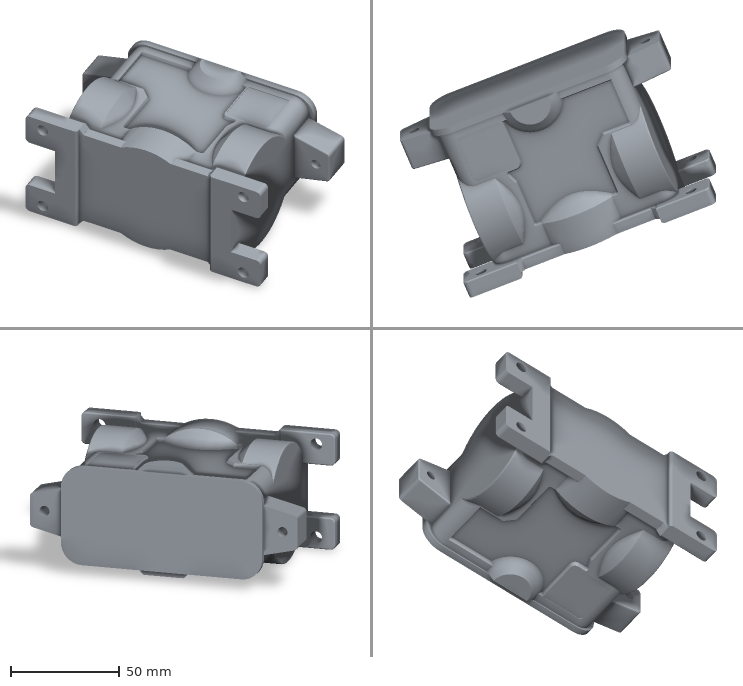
import cadquery as cq
import math


depth = 80.0
flange_thickness = 3.2
flange_face = depth - flange_thickness
front_face = 2.6
body_half_x = 46.0
body_half_z = 22.5
body_corner = 7.5
flange_half_x = 48.7
flange_half_z = 23.6
flange_corner = 10.1

boss_radius = 28.5
cone_reach = boss_radius
side_boss_y = 30.8
side_boss_inner_x = 29.1
front_boss_end_y = 19.4
boss_edge_round = 0.6
rear_cone_radius = 9.7
rear_cone_half_z = 26.5

foot_depth = 8.2
foot_half_x = 61.5
foot_inner_x = 34.7
foot_half_z = 28.0
foot_slot_half_z = 12.5
foot_corner = 2.3
foot_inner_chamfer = 0.9
foot_hole_x = 52.5
foot_hole_z = 22.4
foot_hole_diameter = 5.7
edge_round = 0.8
plate_half_z = 25.4
plate_flare = 2.2

ear_half_x = 64.8
ear_length_y = 15.0
ear_root_half_z = 12.5
ear_tip_half_z = 8.0
ear_corner = 2.0
ear_hole_x = 57.6
ear_hole_diameter = 4.8

panel_depth = 1.8
panel_wall_run = 0.9
panel_left_x = -39.0
panel_max_x = 15.8
panel_max_y = 72.8
panel_step_y = 48.8
panel_bay_x = 21.1
panel_notch_x = 23.8
panel_notch_y = 42.5
panel_bevel = 4.5
panel_corner = 1.3
panel_badge_corner = 2.3
badge_depth = 0.3
badge_min_x, badge_max_x = 16.5, 38.5
badge_min_y, badge_max_y = 50.0, 72.9
badge_corner = 1.7


def block(x0, x1, y0, y1, z0, z1):
    """Box between two opposite corners."""
    return cq.Workplane("XY").box(x1 - x0, y1 - y0, z1 - z0, centered=False).translate((x0, y0, z0))


def rounded_block(half_x, half_z, y0, y1, corner):
    """Box centred on the Y axis with its four Y edges rounded."""
    return block(-half_x, half_x, y0, y1, -half_z, half_z).edges("|Y").fillet(corner)


def both_ends(shape):
    """The shape together with its mirror image across X = 0."""
    return shape.union(shape.mirror("YZ"))


def both_faces(shape):
    """The shape together with its mirror image across Z = 0."""
    return shape.union(shape.mirror("XY"))


def y_holes(diameter, points, length):
    """Round cutters along Y, starting at Y = 0, at (x, z) points."""
    cutter = cq.Workplane("XZ").pushPoints(points).circle(diameter / 2)
    return cutter.extrude(-length)


def panel_recess():
    """Cutter for the sunken panel with sloping walls; its left wall is upright."""
    open_left_x = panel_left_x - 2 * panel_wall_run
    badge_side = (panel_max_x, panel_step_y)
    notch_tip = (panel_notch_x, panel_step_y)
    bay_right = (panel_bay_x, front_boss_end_y)
    bay_left = (-panel_bay_x, front_boss_end_y)
    outline = [
        (open_left_x, panel_max_y),
        (panel_max_x, panel_max_y),
        badge_side,
        notch_tip,
        (panel_bay_x, panel_notch_y),
        bay_right,
        bay_left,
        (-panel_bay_x, panel_step_y - panel_bevel),
        (-panel_bay_x - panel_bevel, panel_step_y),
        (open_left_x, panel_step_y),
    ]
    wall_angle = math.degrees(math.atan2(panel_wall_run, panel_depth))
    prism = cq.Workplane("XY").polyline(outline).close().extrude(body_half_z)
    rounded_corners = [
        (badge_side, panel_badge_corner),
        (notch_tip, panel_corner),
        (bay_right, panel_corner),
        (bay_left, panel_corner),
    ]
    for (x, y), radius in rounded_corners:
        corner_edge = cq.NearestToPointSelector((x, y, body_half_z / 2))
        prism = prism.edges("|Z").edges(corner_edge).fillet(radius)
    rim = prism.faces(">Z").wires().toPending()
    recess = rim.extrude(-panel_depth, combine=False, taper=wall_angle)
    keep = block(panel_left_x, body_half_x, 0, depth, 0, boss_radius)
    return recess.intersect(keep)


def badge_recess():
    """Shallow cutter for the rounded badge field."""
    return block(
        badge_min_x, badge_max_x, badge_min_y, badge_max_y, body_half_z - badge_depth, boss_radius
    ).edges("|Z").fillet(badge_corner)


def side_boss():
    """Boss along X at the +X end, closed towards the middle by a 45 degree cone."""
    boss = (
        cq.Workplane("YZ").workplane(offset=side_boss_inner_x).center(side_boss_y, 0)
        .circle(boss_radius).extrude(body_half_x - side_boss_inner_x)
        .faces(">X").edges().fillet(boss_edge_round)
    )
    cone = cq.Solid.makeCone(
        boss_radius, 0, cone_reach, cq.Vector(side_boss_inner_x, side_boss_y, 0), cq.Vector(-1, 0, 0)
    )
    boss = boss.union(cq.Workplane(cone))
    behind_front = block(0, body_half_x, front_face, depth, -boss_radius, boss_radius)
    return boss.intersect(behind_front)


def front_boss():
    """Boss along Y behind the front face, closed towards the rear by a 45 degree cone."""
    boss = cq.Workplane("XZ").workplane(offset=-front_face).circle(boss_radius)
    boss = boss.extrude(front_face - front_boss_end_y)
    cone = cq.Solid.makeCone(
        boss_radius, 0, cone_reach, cq.Vector(0, front_boss_end_y, 0), cq.Vector(0, 1, 0)
    )
    return boss.union(cq.Workplane(cone))


def rear_cone():
    """Half cone against the flange with a flat top on the +Z face."""
    cone = cq.Solid.makeCone(
        rear_cone_radius + rear_cone_half_z, rear_cone_radius, rear_cone_half_z,
        cq.Vector(0, flange_face, 0), cq.Vector(0, 0, 1),
    )
    keep = block(-body_half_x, body_half_x, 0, flange_face, body_half_z / 2, boss_radius)
    return cq.Workplane(cone).intersect(keep)


def foot():
    """C-shaped foot at the +X end."""
    plate = block(foot_inner_x, foot_half_x, 0, foot_depth, -foot_half_z, foot_half_z)
    plate = plate.faces("<X").edges("<Y").chamfer(foot_inner_chamfer)
    slot = block(body_half_x, foot_half_x, 0, foot_depth, -foot_slot_half_z, foot_slot_half_z)
    plate = plate.cut(slot)
    plate = plate.faces(">X").edges("|Y").fillet(foot_corner)
    return plate.faces(">Y").edges().fillet(edge_round)


def front_plate():
    """Plate between the feet, flaring at 45 degrees to the full foot height."""
    flare_x = foot_inner_x - plate_flare
    half = (
        cq.Workplane("XZ").workplane(offset=-front_face)
        .moveTo(0, -plate_half_z)
        .lineTo(flare_x, -plate_half_z)
        .lineTo(foot_inner_x, -foot_half_z)
        .lineTo(foot_inner_x, foot_half_z)
        .lineTo(flare_x, plate_half_z)
        .lineTo(0, plate_half_z)
        .close()
        .extrude(front_face - foot_depth)
    )
    plate = both_ends(half)
    return plate.faces(">Y").edges("|X").fillet(edge_round)


def ear():
    """Tapered ear at the +X end, set against the flange."""
    bar = (
        cq.Workplane("XZ").workplane(offset=-flange_face)
        .moveTo(body_half_x, -ear_root_half_z)
        .lineTo(ear_half_x, -ear_tip_half_z)
        .lineTo(ear_half_x, ear_tip_half_z)
        .lineTo(body_half_x, ear_root_half_z)
        .close()
        .extrude(ear_length_y)
    )
    bar = bar.faces(">X").edges("|Y").fillet(ear_corner)
    return bar.faces("<Y").edges().fillet(edge_round)


body = rounded_block(body_half_x, body_half_z, front_face, flange_face, body_corner)
body = body.union(both_ends(side_boss()))
body = body.cut(both_faces(panel_recess()))
body = body.cut(both_faces(badge_recess()))

result = body.union(rounded_block(flange_half_x, flange_half_z, flange_face, depth, flange_corner))
result = result.union(front_boss())
result = result.union(both_faces(rear_cone()))
result = result.union(front_plate())
result = result.union(both_ends(foot()))
result = result.union(both_ends(ear()))

foot_points = [(sx * foot_hole_x, sz * foot_hole_z) for sx in (-1, 1) for sz in (-1, 1)]
ear_points = [(-ear_hole_x, 0), (ear_hole_x, 0)]
result = result.cut(y_holes(foot_hole_diameter, foot_points, foot_depth))
result = result.cut(y_holes(ear_hole_diameter, ear_points, depth))